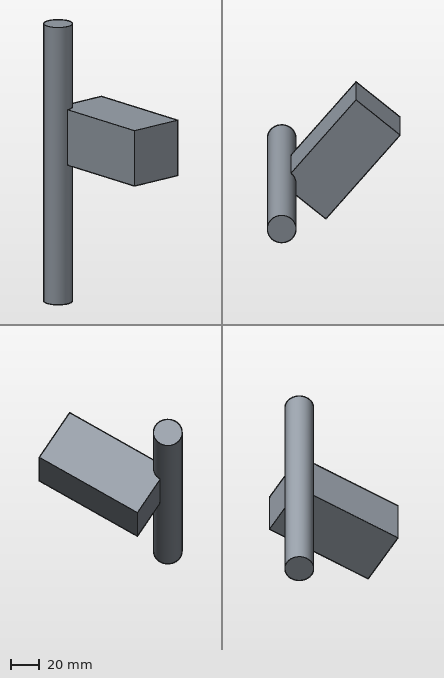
import cadquery as cq

rod_diameter = 20.0
rod_length = 200.0

block_length = 80.0
block_width = 40.0
block_height = 40.0
block_bottom = rod_length / 2


def make_rod():
    return cq.Workplane("XY").circle(rod_diameter / 2).extrude(rod_length)


def make_block(rod):
    """Rectangular block with its corner cut away to seat against the rod."""
    blank = (
        cq.Workplane("XY")
        .workplane(offset=block_bottom)
        .rect(block_length, block_width, centered=False)
        .extrude(block_height)
    )
    return blank.cut(rod)


rod = make_rod()
block = make_block(rod)

result = cq.Compound.makeCompound([rod.val(), *block.solids().vals()])